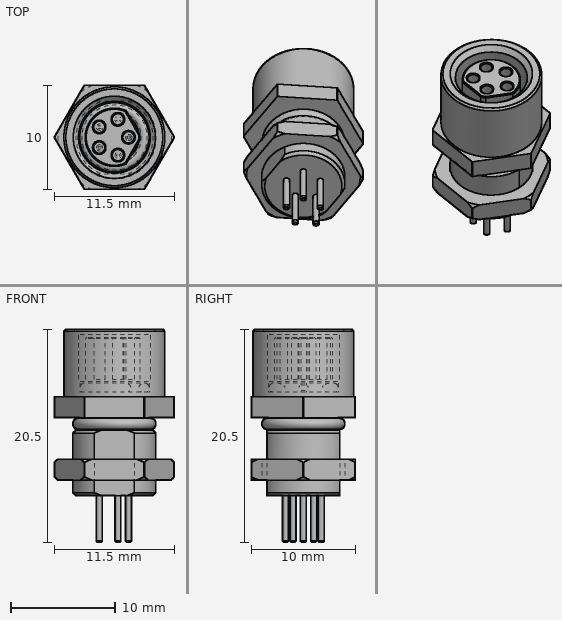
import cadquery as cq
import math


hex_across_flats = 10.0
hex_corner_diameter = 11.5
flange_thickness = 2.0
nut_thickness = 2.0
nut_chamfer = 0.3
nut_top_z = -4.0
nut_bottom_z = nut_top_z - nut_thickness

head_diameter = 9.7
head_length = 6.5
head_chamfer = 0.2
mouth_chamfer = 0.5
bore_diameter = 6.9
bore_depth = 5.0
seat_diameter = 6.7
seat_depth = 6.0
head_top_z = flange_thickness + head_length

neck_diameter = 6.7
neck_length = 1.2
outer_ring_diameter = 6.9
outer_ring_section = 1.1
shank_diameter = 8.0
shank_length = 6.3
shank_across_flats = 7.0
shank_chamfer = 0.3
shank_top_z = -neck_length
shank_bottom_z = shank_top_z - shank_length

inner_ring_section = 0.95
inner_ring_diameter = 5.7
inner_ring_sink = 0.1
bore_floor_z = head_top_z - seat_depth
inner_ring_z = bore_floor_z + inner_ring_section / 2 - inner_ring_sink

carrier_diameter = 5.6
carrier_recess = 0.8
carrier_chamfer = 0.1
key_flat_distance = 2.25
key_flat_angle = 30.0
key_tip_distance = 2.45
carrier_top_z = head_top_z - carrier_recess

key_contact_x = 1.36
side_contact_x = 0.34
side_contact_y = 1.72
rear_contact_x = -1.45
rear_contact_y = 0.99
contact_positions = [
    (key_contact_x, 0),
    (side_contact_x, side_contact_y),
    (rear_contact_x, rear_contact_y),
    (rear_contact_x, -rear_contact_y),
    (side_contact_x, -side_contact_y),
]
contact_hole_diameter = 1.1
contact_hole_depth = 4.0
contact_hole_chamfer = 0.1
pin_diameter = 0.6
pin_length = 4.5
pin_chamfer = 0.15


def cylinder(diameter, bottom_z, height):
    return cq.Workplane("XY").workplane(offset=bottom_z).circle(diameter / 2).extrude(height)


def flared_cone(small_diameter, flare, top_z):
    """45-degree cone that widens upwards by the flare on each side and ends at top_z."""
    small_radius = small_diameter / 2
    base = cq.Vector(0, 0, top_z - flare)
    return cq.Workplane(cq.Solid.makeCone(small_radius, small_radius + flare, flare, pnt=base))


def hexagon(bottom_z, thickness, corner_chamfer=0):
    """Hexagonal prism with corners along X, turned down to the corner diameter."""
    sharp_diameter = hex_across_flats / math.cos(math.pi / 6)
    prism = cq.Workplane("XY").workplane(offset=bottom_z).polygon(6, sharp_diameter).extrude(thickness)
    turned_blank = cylinder(hex_corner_diameter, bottom_z, thickness)
    if corner_chamfer:
        turned_blank = turned_blank.edges("%CIRCLE").chamfer(corner_chamfer)
    return prism.intersect(turned_blank)


def sealing_ring(mean_diameter, section_diameter, center_z):
    """Torus about Z, revolved from a section on the -X side so that its seam lies on the inside."""
    mean_radius = mean_diameter / 2
    section = cq.Workplane("XZ").center(-mean_radius, center_z).circle(section_diameter / 2)
    return section.revolve(360, (mean_radius, 0, 0), (mean_radius, 1, 0))


def socket_head():
    head = cylinder(head_diameter, flange_thickness, head_length)
    head = head.faces(">Z").edges().chamfer(head_chamfer)
    return head.union(hexagon(0, flange_thickness))


def socket_bore():
    bore = cylinder(bore_diameter, head_top_z - bore_depth, bore_depth)
    seat = cylinder(seat_diameter, bore_floor_z, seat_depth)
    mouth = flared_cone(bore_diameter, mouth_chamfer, head_top_z)
    return bore.union(seat).union(mouth)


def nut():
    """Chamfered hexagon with a round bore, leaving a gap beside each shank flat."""
    nut_bore = cylinder(shank_diameter, nut_bottom_z, nut_thickness)
    return hexagon(nut_bottom_z, nut_thickness, nut_chamfer).cut(nut_bore)


def shank():
    body = cylinder(shank_diameter, shank_bottom_z, shank_length)
    body = body.edges("%CIRCLE").chamfer(shank_chamfer)
    slab = cq.Workplane("XY").workplane(offset=shank_bottom_z).rect(shank_diameter, shank_across_flats)
    return body.intersect(slab.extrude(shank_length))


def contact_carrier():
    height = carrier_top_z - bore_floor_z
    carrier = cylinder(carrier_diameter, bore_floor_z, height)
    cutter = cq.Workplane("XY").workplane(offset=bore_floor_z)
    cutter = cutter.box(carrier_diameter, carrier_diameter, height, centered=(False, True, False))
    for angle in (-key_flat_angle, key_flat_angle):
        flat_cutter = cutter.translate((key_flat_distance, 0, 0))
        carrier = carrier.cut(flat_cutter.rotate((0, 0, 0), (0, 0, 1), angle))
    carrier = carrier.cut(cutter.translate((key_tip_distance, 0, 0)))
    return carrier.faces(">Z").edges().chamfer(carrier_chamfer)


def contact_holes():
    hole = cylinder(contact_hole_diameter, carrier_top_z - contact_hole_depth, contact_hole_depth)
    hole = hole.union(flared_cone(contact_hole_diameter, contact_hole_chamfer, carrier_top_z))
    return [hole.translate((x, y, 0)) for x, y in contact_positions]


def pins():
    pin = cylinder(pin_diameter, shank_bottom_z - pin_length, pin_length)
    pin = pin.faces("<Z").edges().chamfer(pin_chamfer)
    return [pin.translate((x, y, 0)) for x, y in contact_positions]


result = socket_head().cut(socket_bore())
result = result.union(cylinder(neck_diameter, shank_top_z, neck_length))
result = result.union(sealing_ring(outer_ring_diameter, outer_ring_section, -neck_length / 2))
result = result.union(shank())
result = result.union(nut())
result = result.union(sealing_ring(inner_ring_diameter, inner_ring_section, inner_ring_z))
result = result.union(contact_carrier())
for contact_hole in contact_holes():
    result = result.cut(contact_hole)
for pin in pins():
    result = result.union(pin)